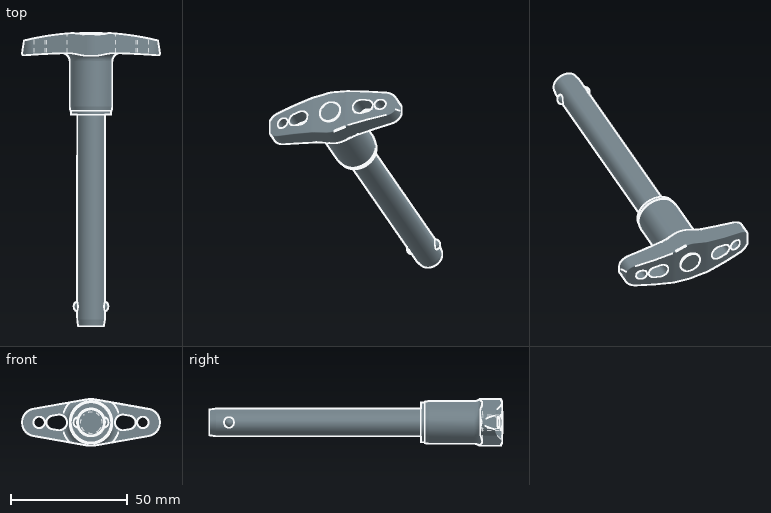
import cadquery as cq
import math


total_length = 125.7
head_length = 35.1
shank_length = total_length - head_length

handle_length = 59.1
middle_radius = 10.08
end_radius = 5.96
end_center_x = handle_length / 2 - end_radius
flank_angle = math.asin((middle_radius - end_radius) / end_center_x)

crown_radius = 120.0
crown_apex_depth = -0.1
saddle_half_width = 7.5
saddle_depth = 0.75
saddle_blend = 8.0
arch_radius = 380.0
arch_middle_depth = 8.72
end_tip_depth = 8.7
end_slant = 8.7
bottom_end_rounding = 0.9
top_edge_rounding = 0.3
top_zone_depth = 4.0

button_radius = 4.6

eye_x = 22.2
eye_diameter = 4.8
slot_inner_x = 13.6
slot_inner_radius = 3.3
slot_outer_x = 16.2

sleeve_radius = 9.2
neck_fillet = 3.3
neck_start_depth = 12.2
sleeve_end_depth = 31.7
taper_end_depth = 33.5
taper_end_radius = 8.9
collar_radius = 8.6

shank_radius = 6.0
tip_radius = 5.55
tip_length = 2.9
ball_radius = 2.3
ball_reach = 7.5
ball_from_tip = 8.5


def y_at(depth):
    """Y coordinate of a depth measured from the top of the button."""
    return head_length - depth


def arc_depth(radius, x):
    """Drop of a circular arc at distance x from its apex."""
    return radius - math.sqrt(radius**2 - x**2)


def crown_y(x):
    """Y coordinate of the crown arc at x."""
    return y_at(crown_apex_depth + arc_depth(crown_radius, x))


def arch_y(x):
    """Y coordinate of the arched underside at x."""
    return y_at(arch_middle_depth + arc_depth(arch_radius, x))


def make_outline():
    """Handle block: middle round and end rounds joined by tangent flanks."""
    sin_a = math.sin(flank_angle)
    cos_a = math.cos(flank_angle)
    mid_x, mid_z = middle_radius * sin_a, middle_radius * cos_a
    tip_x, tip_z = end_center_x + end_radius * sin_a, end_radius * cos_a
    half_length = handle_length / 2
    outline = (
        cq.Workplane("XZ", origin=(0, head_length, 0))
        .moveTo(-mid_x, mid_z)
        .threePointArc((0, middle_radius), (mid_x, mid_z))
        .lineTo(tip_x, tip_z)
        .threePointArc((half_length, 0), (tip_x, -tip_z))
        .lineTo(mid_x, -mid_z)
        .threePointArc((0, -middle_radius), (-mid_x, -mid_z))
        .lineTo(-tip_x, -tip_z)
        .threePointArc((-half_length, 0), (-tip_x, tip_z))
        .close()
    )
    return outline.extrude(neck_start_depth)


def make_profile():
    """Handle side profile: crown with a saddle, slanted ends and an arched underside."""
    slant = math.tan(math.radians(end_slant))
    half_length = handle_length / 2
    top_x = half_length - end_tip_depth * slant
    bottom_x = half_length + (y_at(end_tip_depth) - arch_y(half_length)) * slant
    ends = (
        cq.Workplane("XY")
        .moveTo(-top_x, y_at(0))
        .lineTo(top_x, y_at(0))
        .lineTo(bottom_x, arch_y(half_length))
        .threePointArc((0, arch_y(0)), (-bottom_x, arch_y(half_length)))
        .close()
        .extrude(2 * middle_radius, both=True)
        .edges("|Z and <Y")
        .fillet(bottom_end_rounding)
    )
    rim_x = saddle_half_width
    mid_x = (rim_x + half_length) / 2
    crown = (
        cq.Workplane("XY")
        .moveTo(-rim_x, crown_y(rim_x))
        .threePointArc((0, y_at(saddle_depth)), (rim_x, crown_y(rim_x)))
        .threePointArc((mid_x, crown_y(mid_x)), (half_length, crown_y(half_length)))
        .lineTo(half_length, 0)
        .lineTo(-half_length, 0)
        .lineTo(-half_length, crown_y(half_length))
        .threePointArc((-mid_x, crown_y(mid_x)), (-rim_x, crown_y(rim_x)))
        .close()
        .extrude(2 * middle_radius, both=True)
        .edges("|Z and >Y")
        .fillet(saddle_blend)
    )
    return ends.intersect(crown)


def make_slot(side):
    """Cutter for one finger slot: two rounds joined by walls parallel to the handle flanks."""
    sin_a = math.sin(flank_angle)
    cos_a = math.cos(flank_angle)
    inner = slot_inner_radius
    outer = inner - (slot_outer_x - slot_inner_x) * sin_a
    inner_x, inner_z = slot_inner_x + inner * sin_a, inner * cos_a
    outer_x, outer_z = slot_outer_x + outer * sin_a, outer * cos_a
    return (
        cq.Workplane("XZ", origin=(0, head_length, 0))
        .moveTo(side * inner_x, inner_z)
        .lineTo(side * outer_x, outer_z)
        .threePointArc((side * (slot_outer_x + outer), 0), (side * outer_x, -outer_z))
        .lineTo(side * inner_x, -inner_z)
        .threePointArc((side * (slot_inner_x - inner), 0), (side * inner_x, inner_z))
        .close()
        .extrude(neck_start_depth)
    )


def make_openings():
    """Cutters for the eyes and the finger slots on both sides of the handle."""
    eyes = (
        cq.Workplane("XZ", origin=(0, head_length, 0))
        .pushPoints([(-eye_x, 0), (eye_x, 0)])
        .circle(eye_diameter / 2)
        .extrude(neck_start_depth)
    )
    return eyes.union(make_slot(-1)).union(make_slot(1))


def make_neck():
    """Concave flare that joins the sleeve to the underside of the handle."""
    flare_top = neck_start_depth - neck_fillet
    flare_radius = sleeve_radius + neck_fillet
    bulge = neck_fillet * (1 - math.sqrt(0.5))
    core_depth = arch_middle_depth / 2
    return (
        cq.Workplane("XY")
        .moveTo(0, y_at(core_depth))
        .lineTo(flare_radius, y_at(core_depth))
        .lineTo(flare_radius, y_at(flare_top))
        .threePointArc(
            (sleeve_radius + bulge, y_at(flare_top + bulge)),
            (sleeve_radius, y_at(neck_start_depth)),
        )
        .lineTo(0, y_at(neck_start_depth))
        .close()
        .revolve(360, (0, 0, 0), (0, 1, 0))
    )


def box_around_top(half_length):
    """Selector for edges whose centres lie near the crown within a given half length."""
    low = (-half_length, y_at(top_zone_depth), -2 * middle_radius)
    high = (half_length, y_at(-top_zone_depth), 2 * middle_radius)
    return cq.selectors.BoxSelector(low, high)


def round_top_edges(handle):
    """Round the rim of the crown, leaving the cross lines inside the crown alone."""
    cross_lines = box_around_top(end_center_x) & cq.selectors.ParallelDirSelector(cq.Vector(0, 0, 1))
    return handle.edges(box_around_top(handle_length) - cross_lines).fillet(top_edge_rounding)


def make_handle():
    """Handle with its rounded crown, neck flare, openings and middle button."""
    outline = make_outline()
    handle = outline.intersect(make_profile())
    handle = round_top_edges(handle)
    neck = make_neck().intersect(outline)
    button = (
        cq.Workplane("XZ", origin=(0, head_length, 0))
        .circle(button_radius)
        .extrude(arch_middle_depth / 2)
    )
    return handle.union(neck).cut(make_openings()).union(button)


def make_pin():
    """Sleeve, collar and shank turned about the pin axis."""
    return (
        cq.Workplane("XY")
        .moveTo(0, y_at(arch_middle_depth))
        .lineTo(sleeve_radius, y_at(arch_middle_depth))
        .lineTo(sleeve_radius, y_at(sleeve_end_depth))
        .lineTo(taper_end_radius, y_at(taper_end_depth))
        .lineTo(collar_radius, y_at(taper_end_depth))
        .lineTo(collar_radius, 0)
        .lineTo(shank_radius, 0)
        .lineTo(shank_radius, tip_length - shank_length)
        .lineTo(tip_radius, -shank_length)
        .lineTo(0, -shank_length)
        .close()
        .revolve(360, (0, 0, 0), (0, 1, 0))
    )


def make_balls():
    """Locking balls that stand out of both sides of the shank."""
    ball_x = ball_reach - ball_radius
    ball_y = ball_from_tip - shank_length
    return cq.Workplane("XY").pushPoints([(-ball_x, ball_y), (ball_x, ball_y)]).sphere(ball_radius)


result = make_handle().union(make_pin()).union(make_balls())